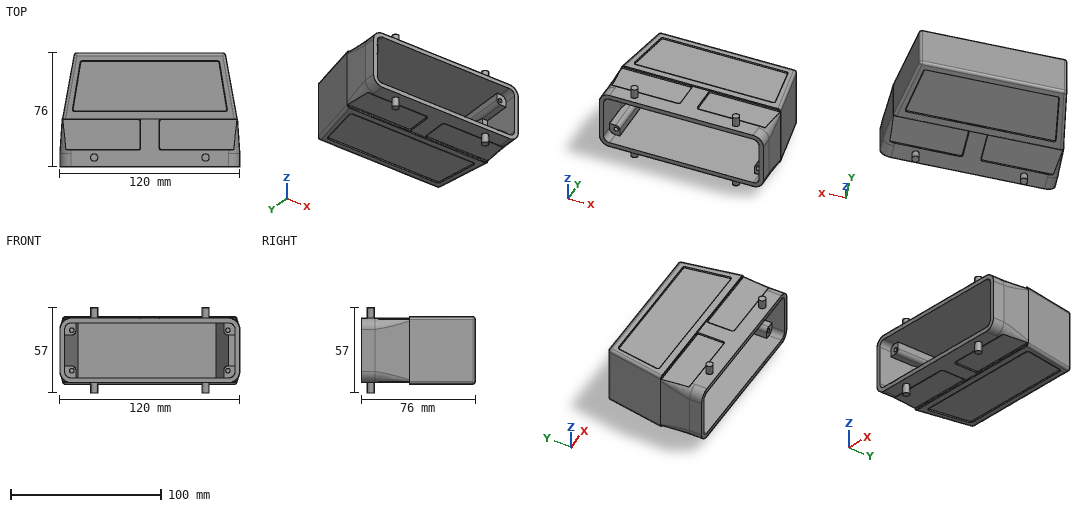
import cadquery as cq


length = 76.0
rim_width = 120.0
rim_thickness = 43.0
pin_span = 57.0

rim_height = 9.0
rim_radius = 7.5
shoulder_y = 32.0
shoulder_width = 116.9
shoulder_radius = 1.97
transition_steps = 3
radius_exponent = 1.3

upper_thickness = 45.2
upper_base_width = 116.4
end_width = 100.4
upper_edge_radius = 2.0

wall = 3.2
end_wall = 3.0
floor_y = length - end_wall
cavity_width = rim_width - 2 * wall
cavity_thickness = rim_thickness - 2 * wall
left_slope_start_y = 28.0
left_floor_x = -48.0
right_ledge_y = 30.0
right_ledge_x = 52.5
right_floor_x = 44.2

boss_face_y = 9.5
boss_inner_x = 49.3
boss_inner_z = 10.2
boss_radius = 3.0
screw_x = 52.0
screw_z = 13.5
screw_diameter = 3.0
screw_depth = 15.0

pin_diameter = 4.9
pin_x = 37.1
pin_y = 6.3

panel_depth = 0.8
panel_draft = 30.0
panel_radius = 1.51
lower_panel_inner_x = 6.1
lower_panel_start_y = 11.2
panel_overrun = 5.0
upper_panel_start_y = 36.9
upper_panel_end_y = 70.8
upper_panel_start_width = 103.7
upper_panel_end_width = 92.6


def section_plane(y):
    """Plane across the hood at height y, facing the closed end."""
    return cq.Plane(origin=(0, y, 0), xDir=(1, 0, 0), normal=(0, 1, 0))


def rounded_block(y, height, width, thickness, radius):
    """Block with rounded corners, rising from y toward the closed end."""
    block = cq.Workplane(section_plane(y)).rect(width, thickness).extrude(height)
    return block.edges("|Y").fillet(radius)


def transition():
    """Loft whose corner radius shrinks slowly at the rim and faster toward the shoulder."""
    sketches = []
    for step in range(transition_steps + 1):
        share = step / transition_steps
        y = rim_height + share * (shoulder_y - rim_height)
        width = rim_width + share * (shoulder_width - rim_width)
        radius = rim_radius + share ** radius_exponent * (shoulder_radius - rim_radius)
        sketch = cq.Sketch().rect(width, rim_thickness).vertices().fillet(radius)
        sketches.append(sketch.moved(cq.Location(cq.Vector(0, 0, y - rim_height))))
    return cq.Workplane(section_plane(rim_height)).placeSketch(*sketches).loft()


def lower_section():
    """Solid rim and transition, up to the shoulder."""
    rim = rounded_block(0, rim_height, rim_width, rim_thickness, rim_radius)
    return rim.union(transition())


def trapezoid(start_y, end_y, start_width, end_width):
    """Corners of a trapezoid that is symmetric about X = 0."""
    return [
        (-start_width / 2, start_y),
        (start_width / 2, start_y),
        (end_width / 2, end_y),
        (-end_width / 2, end_y),
    ]


def upper_section():
    """Solid tapered body above the shoulder, rounded except along the shoulder."""
    outline = trapezoid(shoulder_y, length, upper_base_width, end_width)
    block = cq.Workplane("XY").polyline(outline).close().extrude(upper_thickness / 2, both=True)
    return block.faces("not <Y").edges("not <Y").fillet(upper_edge_radius)


def cavity():
    """Rounded mouth, then a chamber with sloped ends and a ledge on the +X side only."""
    mouth = rounded_block(0, boss_face_y, cavity_width, cavity_thickness, rim_radius - wall)
    side_x = cavity_width / 2
    outline = [
        (-side_x, boss_face_y),
        (side_x, boss_face_y),
        (side_x, right_ledge_y),
        (right_ledge_x, right_ledge_y),
        (right_floor_x, floor_y),
        (left_floor_x, floor_y),
        (-side_x, left_slope_start_y),
    ]
    chamber = cq.Workplane("XY").polyline(outline).close().extrude(cavity_thickness / 2, both=True)
    return mouth.union(chamber)


def screw_bosses():
    """Four solid corners of the cavity, running from the boss face to the floor."""
    boss_width = cavity_width / 2 - boss_inner_x
    boss_thickness = cavity_thickness / 2 - boss_inner_z
    boss_centre_x = boss_inner_x + boss_width / 2
    boss_centre_z = boss_inner_z + boss_thickness / 2
    bosses = cq.Workplane("XY")
    for side_x in (-1, 1):
        for side_z in (-1, 1):
            boss = (
                cq.Workplane(section_plane(boss_face_y))
                .rect(boss_width, boss_thickness)
                .extrude(floor_y - boss_face_y)
                .translate((side_x * boss_centre_x, 0, side_z * boss_centre_z))
            )
            inner_corner = (side_x * boss_inner_x, floor_y / 2, side_z * boss_inner_z)
            inner_edge = cq.selectors.NearestToPointSelector(inner_corner)
            bosses = bosses.union(boss.edges("|Y").edges(inner_edge).fillet(boss_radius))
    return bosses


def screw_holes():
    """Blind screw holes, one in the face of each boss."""
    return (
        cq.Workplane(section_plane(boss_face_y))
        .rect(2 * screw_x, 2 * screw_z, forConstruction=True)
        .vertices()
        .circle(screw_diameter / 2)
        .extrude(screw_depth)
    )


def locking_pins():
    """Two pins on each broad side, rooted at the inner surface of the wall."""
    pin_length = pin_span / 2 - cavity_thickness / 2
    pins = (
        cq.Workplane("XY", origin=(0, pin_y, cavity_thickness / 2))
        .pushPoints([(-pin_x, 0), (pin_x, 0)])
        .circle(pin_diameter / 2)
        .extrude(pin_length)
    )
    return pins.union(pins.mirror("XY"))


def panel_recess(outline, face_z):
    """Recesses in the faces at +face_z and -face_z, with walls drafted toward the floor."""
    sketch = cq.Sketch().polygon(outline + outline[:1]).vertices().fillet(panel_radius)
    recess = (
        cq.Workplane("XY", origin=(0, 0, face_z))
        .placeSketch(sketch)
        .extrude(-panel_depth, taper=panel_draft)
    )
    return recess.union(recess.mirror("XY"))


def lower_panels():
    """Recesses below the shoulder that run out through the rounded corners."""
    outer_x = rim_width / 2 + panel_overrun
    outline = [
        (lower_panel_inner_x, lower_panel_start_y),
        (outer_x, lower_panel_start_y),
        (outer_x, shoulder_y),
        (lower_panel_inner_x, shoulder_y),
    ]
    recess = panel_recess(outline, rim_thickness / 2)
    return recess.union(recess.mirror("YZ"))


def upper_panels():
    """One large recess on each broad side of the upper section."""
    outline = trapezoid(
        upper_panel_start_y,
        upper_panel_end_y,
        upper_panel_start_width,
        upper_panel_end_width,
    )
    return panel_recess(outline, upper_thickness / 2)


shell = lower_section().cut(lower_panels()).union(upper_section().cut(upper_panels()))
hood = shell.cut(cavity().cut(screw_bosses()))
result = hood.union(locking_pins()).cut(screw_holes())